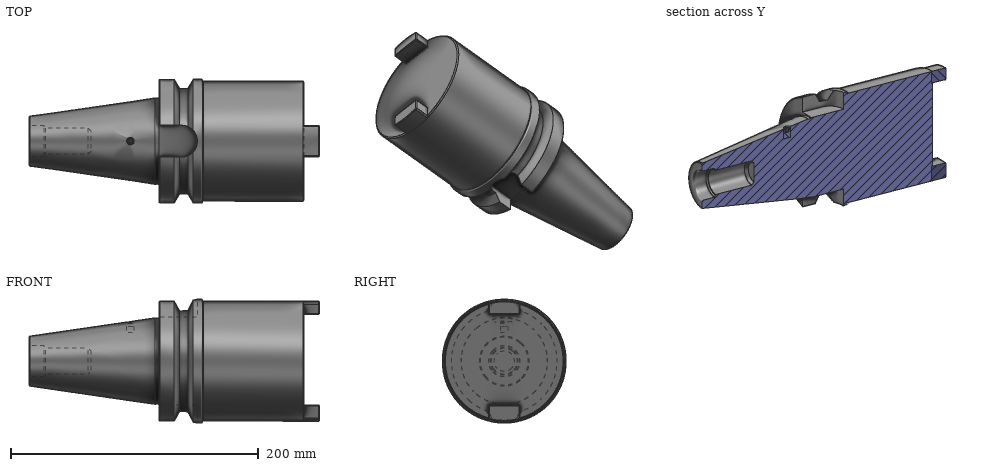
import cadquery as cq
import math


GAUGE_RADIUS = 69.85 / 2
SHANK_LENGTH = 101.8
TAPER_SLOPE = 7 / 48
SHANK_END_CHAMFER = 0.7
SHANK_END_RADIUS = GAUGE_RADIUS - SHANK_LENGTH * TAPER_SLOPE

RELIEF_DEPTH = 0.2
RELIEF_RAMP = 1.0

FLANGE_RADIUS = 50.0
FLANGE_START = 3.0
FLANGE_END = 38.0
FLANGE_CHAMFER = 0.7
FLANGE_END_FILLET = 1.0
GROOVE_CENTRE = 23.0
GROOVE_FLOOR_WIDTH = 6.8
GROOVE_FLOOR_RADIUS = 42.6
GROOVE_FLANK_ANGLE = 30.0
GROOVE_FLANK_RUN = (FLANGE_RADIUS - GROOVE_FLOOR_RADIUS) * math.tan(math.radians(GROOVE_FLANK_ANGLE))

SLOT_WIDTH = 25.7
SLOT_FLOOR_HEIGHT = 35.4
SLOT_END = 34.0

BODY_RADIUS = 48.5
BODY_END = 120.0
BODY_CHAMFER = 1.0
NECK_LENGTH = 0.8
NECK_DEPTH = 0.4

MOUTH_RADIUS = 14.8
COUNTERBORE_RADIUS = 12.6
COUNTERBORE_DEPTH = 12.0
MOUTH_FILLET = MOUTH_RADIUS - COUNTERBORE_RADIUS
THREAD_CHAMFER_OUTER_RADIUS = 12.3
THREAD_CHAMFER_INNER_RADIUS = 11.1
THREAD_RADIUS = 10.5
BORE_DEPTH = 50.0
BORE_FLOOR_RADIUS = 8.2

KEY_WIDTH = 25.4
UPPER_KEY_INNER_HEIGHT = 37.8
LOWER_KEY_INNER_HEIGHT = 35.3
KEY_PROJECTION = 12.5
KEY_SEAT_DEPTH = BODY_CHAMFER
KEY_SIDE_CHAMFER = 1.0
KEY_CHAMFER = 0.7
KEY_LENGTH = KEY_PROJECTION + KEY_SEAT_DEPTH
KEY_START = BODY_END - KEY_SEAT_DEPTH

SCREW_X = -20.0
SCREW_RADIUS = 3.0
SCREW_LENGTH = 8.0
SCREW_CHAMFER = 0.6
SCREW_SOCKET_WIDTH = 3.0
SCREW_SOCKET_DEPTH = 3.0
SCREW_RECESS = 1.0
SCREW_TOP = GAUGE_RADIUS + SCREW_X * TAPER_SLOPE - SCREW_RECESS


def revolve_about_x(outline):
    """Close a half outline and turn it once around the holder axis."""
    return outline.close().revolve(360, (0, 0, 0), (1, 0, 0))


def holder_blank():
    """Turned outside shape: taper, relief, grooved flange and body."""
    relief_radius = GAUGE_RADIUS - RELIEF_DEPTH
    floor_start = GROOVE_CENTRE - GROOVE_FLOOR_WIDTH / 2
    floor_end = GROOVE_CENTRE + GROOVE_FLOOR_WIDTH / 2
    neck_radius = BODY_RADIUS - NECK_DEPTH
    fillet_start = FLANGE_END - FLANGE_END_FILLET
    fillet_middle = FLANGE_END_FILLET * math.sqrt(0.5)
    outline = (
        cq.Workplane("XZ")
        .moveTo(-SHANK_LENGTH, 0)
        .lineTo(-SHANK_LENGTH, SHANK_END_RADIUS - SHANK_END_CHAMFER)
        .lineTo(-SHANK_LENGTH + SHANK_END_CHAMFER, SHANK_END_RADIUS + SHANK_END_CHAMFER * TAPER_SLOPE)
        .lineTo(0, GAUGE_RADIUS)
        .lineTo(RELIEF_RAMP, relief_radius)
        .lineTo(FLANGE_START - RELIEF_RAMP, relief_radius)
        .lineTo(FLANGE_START, GAUGE_RADIUS)
        .lineTo(FLANGE_START, FLANGE_RADIUS - FLANGE_CHAMFER)
        .lineTo(FLANGE_START + FLANGE_CHAMFER, FLANGE_RADIUS)
        .lineTo(floor_start - GROOVE_FLANK_RUN, FLANGE_RADIUS)
        .lineTo(floor_start, GROOVE_FLOOR_RADIUS)
        .lineTo(floor_end, GROOVE_FLOOR_RADIUS)
        .lineTo(floor_end + GROOVE_FLANK_RUN, FLANGE_RADIUS)
        .lineTo(fillet_start, FLANGE_RADIUS)
        .threePointArc(
            (fillet_start + fillet_middle, FLANGE_RADIUS - FLANGE_END_FILLET + fillet_middle),
            (FLANGE_END, FLANGE_RADIUS - FLANGE_END_FILLET),
        )
        .lineTo(FLANGE_END, neck_radius)
        .lineTo(FLANGE_END + NECK_LENGTH, BODY_RADIUS)
        .lineTo(BODY_END - BODY_CHAMFER, BODY_RADIUS)
        .lineTo(BODY_END, BODY_RADIUS - BODY_CHAMFER)
        .lineTo(BODY_END, 0)
    )
    return revolve_about_x(outline)


def drawbar_bore():
    """Stepped blind bore with a rounded mouth and conical steps."""
    mouth = -SHANK_LENGTH
    counterbore_end = mouth + COUNTERBORE_DEPTH
    chamfer_end = counterbore_end + THREAD_CHAMFER_OUTER_RADIUS - THREAD_CHAMFER_INNER_RADIUS
    bore_end = mouth + BORE_DEPTH
    fillet_middle = MOUTH_FILLET * (1 - math.sqrt(0.5))
    outline = (
        cq.Workplane("XZ")
        .moveTo(mouth, 0)
        .lineTo(mouth, MOUTH_RADIUS)
        .threePointArc(
            (mouth + fillet_middle, COUNTERBORE_RADIUS + fillet_middle),
            (mouth + MOUTH_FILLET, COUNTERBORE_RADIUS),
        )
        .lineTo(counterbore_end, COUNTERBORE_RADIUS)
        .lineTo(counterbore_end, THREAD_CHAMFER_OUTER_RADIUS)
        .lineTo(chamfer_end, THREAD_CHAMFER_INNER_RADIUS)
        .lineTo(chamfer_end, THREAD_RADIUS)
        .lineTo(bore_end - THREAD_RADIUS + BORE_FLOOR_RADIUS, THREAD_RADIUS)
        .lineTo(bore_end, BORE_FLOOR_RADIUS)
        .lineTo(bore_end, 0)
    )
    return revolve_about_x(outline)


def driving_slot():
    """Cutter for the upper slot: open at the shank side, round at its end."""
    half_width = SLOT_WIDTH / 2
    return (
        cq.Workplane("XY")
        .workplane(offset=SLOT_FLOOR_HEIGHT)
        .moveTo(FLANGE_START, -half_width)
        .lineTo(SLOT_END - half_width, -half_width)
        .threePointArc((SLOT_END, 0), (SLOT_END - half_width, half_width))
        .lineTo(FLANGE_START, half_width)
        .close()
        .extrude(FLANGE_RADIUS - SLOT_FLOOR_HEIGHT)
    )


def face_key(inner_height):
    """Face key in the upper position: flush with the body outside, chamfered at its free edges."""
    block = (
        cq.Workplane("XY")
        .box(KEY_LENGTH, KEY_WIDTH, BODY_RADIUS - inner_height, centered=(False, True, False))
        .translate((KEY_START, 0, inner_height))
    )
    envelope = cq.Workplane("YZ").workplane(offset=KEY_START).circle(BODY_RADIUS).extrude(KEY_LENGTH)
    key = block.intersect(envelope)
    key = key.edges("|X").edges(">Z").chamfer(KEY_SIDE_CHAMFER)
    key = key.edges("|X").edges("<Z").chamfer(KEY_CHAMFER)
    return key.faces(">X").edges().chamfer(KEY_CHAMFER)


def screw_hole():
    """Blind hole for the set screw, open at the taper surface."""
    bottom = SCREW_TOP - SCREW_LENGTH
    return (
        cq.Workplane("XY")
        .workplane(offset=bottom)
        .center(SCREW_X, 0)
        .circle(SCREW_RADIUS)
        .extrude(GAUGE_RADIUS - bottom)
    )


def set_screw():
    """Headless screw with a chamfered top and a hexagon socket."""
    return (
        cq.Workplane("XY")
        .workplane(offset=SCREW_TOP - SCREW_LENGTH)
        .center(SCREW_X, 0)
        .circle(SCREW_RADIUS)
        .extrude(SCREW_LENGTH)
        .faces(">Z")
        .chamfer(SCREW_CHAMFER)
        .faces(">Z")
        .workplane()
        .polygon(6, SCREW_SOCKET_WIDTH, circumscribed=True)
        .cutBlind(-SCREW_SOCKET_DEPTH)
    )


holder = holder_blank().cut(drawbar_bore()).cut(screw_hole())
keys = []
for turn, inner_height in ((0, UPPER_KEY_INNER_HEIGHT), (180, LOWER_KEY_INNER_HEIGHT)):
    key = face_key(inner_height).rotate((0, 0, 0), (1, 0, 0), turn)
    holder = holder.cut(driving_slot().rotate((0, 0, 0), (1, 0, 0), turn)).cut(key)
    keys.append(key.val())
screw = set_screw()

result = cq.Compound.makeCompound([holder.val(), *keys, screw.val()])